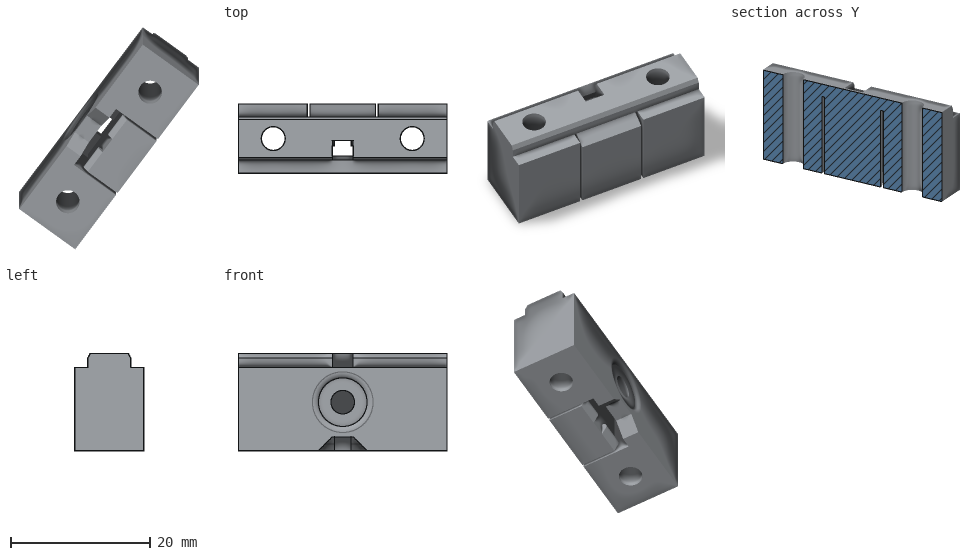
import cadquery as cq
import math

LENGTH = 30.0
DEPTH = 10.0
HEIGHT = 14.0
RAIL_HEIGHT = 2.0
RAIL_WIDTH = 6.2
RAIL_CHAMFER_HEIGHT = 0.7
RAIL_CHAMFER_WIDTH = 0.35
SHOULDER_Z = HEIGHT - RAIL_HEIGHT
FRONT_Y = -DEPTH / 2
BACK_Y = DEPTH / 2

HOLE_DIAMETER = 3.4
HOLE_SPACING = 19.98

CAVITY_FRONT_Y = -2.5
CAVITY_BACK_Y = -0.3
WINDOW_WIDTH = 3.0
WINDOW_SILL_DROP = 1.0

ARM_WIDTH = 9.48
GAP = 0.35
ARM_SLOPE = 30.0
CAVITY_WIDTH = ARM_WIDTH + 2 * GAP

LIP_RADIUS = 0.75
LIP_CENTER_Z = 1.4
LIP_NOTCH_WIDTH = 2.4

RECESS_Z = 7.0
RECESS_FLOOR_DIAMETER = 7.0
RECESS_DEPTH = 0.5
RECESS_EDGE_RADIUS = 1.0
BORE_DIAMETER = 3.4

OPENING_HEIGHT = 2.0
OPENING_TOP_WIDTH = WINDOW_WIDTH
OPENING_BOTTOM_WIDTH = OPENING_TOP_WIDTH + 2 * OPENING_HEIGHT


def box(width, y_start, y_end, z_start, z_end, x_center=0.0):
    """Block centred on x_center, between two Y and two Z positions."""
    return (
        cq.Workplane("XY")
        .box(width, y_end - y_start, z_end - z_start, centered=(True, False, False))
        .translate((x_center, y_start, z_start))
    )


def extrude_along_x(profile, width):
    """Extrude a closed YZ profile symmetrically about X = 0."""
    return profile.extrude(width / 2, both=True)


def body():
    """Block with shoulders and a chamfered rail along its top."""
    half_rail = RAIL_WIDTH / 2
    half_crest = half_rail - RAIL_CHAMFER_WIDTH
    chamfer_z = HEIGHT - RAIL_CHAMFER_HEIGHT
    profile = (
        cq.Workplane("YZ")
        .moveTo(0, 0)
        .lineTo(BACK_Y, 0)
        .lineTo(BACK_Y, SHOULDER_Z)
        .lineTo(half_rail, SHOULDER_Z)
        .lineTo(half_rail, chamfer_z)
        .lineTo(half_crest, HEIGHT)
        .lineTo(0, HEIGHT)
        .mirrorY()
    )
    return extrude_along_x(profile, LENGTH)


def mounting_holes():
    """Two vertical through holes."""
    return (
        cq.Workplane("XY")
        .pushPoints([(-HOLE_SPACING / 2, 0), (HOLE_SPACING / 2, 0)])
        .circle(HOLE_DIAMETER / 2)
        .extrude(HEIGHT)
    )


def cavity():
    """Cavity open at the bottom, with a narrow window up through the front of the rail,
    whose sill lies below the shoulder.
    """
    chamber = box(CAVITY_WIDTH, CAVITY_FRONT_Y, CAVITY_BACK_Y, 0, SHOULDER_Z)
    sill_z = SHOULDER_Z - WINDOW_SILL_DROP
    window = box(WINDOW_WIDTH, -RAIL_WIDTH / 2, CAVITY_BACK_Y, sill_z, HEIGHT)
    return chamber.union(window)


def arm_gaps():
    """Gaps on both sides of the arm, from the cavity to the back, below the rail."""
    offset = (ARM_WIDTH + GAP) / 2
    left = box(GAP, CAVITY_BACK_Y, BACK_Y, 0, SHOULDER_Z, -offset)
    right = box(GAP, CAVITY_BACK_Y, BACK_Y, 0, SHOULDER_Z, offset)
    return left.union(right)


def arm_slope():
    """Wedge that slopes the arm's shoulder down toward the back."""
    rail_back_y = RAIL_WIDTH / 2
    drop = (BACK_Y - rail_back_y) * math.tan(math.radians(ARM_SLOPE))
    profile = (
        cq.Workplane("YZ")
        .moveTo(rail_back_y, SHOULDER_Z)
        .lineTo(BACK_Y, SHOULDER_Z)
        .lineTo(BACK_Y, SHOULDER_Z - drop)
        .close()
    )
    return extrude_along_x(profile, ARM_WIDTH)


def latch_lip():
    """Half-round lip whose underside runs tangentially back to the arm, notched at its middle."""
    def on_arc(angle):
        return (
            CAVITY_BACK_Y - LIP_RADIUS * math.cos(angle),
            LIP_CENTER_Z + LIP_RADIUS * math.sin(angle),
        )

    tangent_angle = -math.asin(LIP_RADIUS / LIP_CENTER_Z)
    top_angle = math.pi / 2
    profile = (
        cq.Workplane("YZ")
        .moveTo(CAVITY_BACK_Y, 0)
        .lineTo(*on_arc(tangent_angle))
        .threePointArc(on_arc((tangent_angle + top_angle) / 2), on_arc(top_angle))
        .close()
    )
    lip = extrude_along_x(profile, ARM_WIDTH)
    notch = box(LIP_NOTCH_WIDTH, CAVITY_FRONT_Y, CAVITY_BACK_Y, 0, SHOULDER_Z)
    return lip.cut(notch)


def front_recess():
    """Shallow round recess with a convex rounded rim, and a bore on into the cavity."""
    floor_radius = RECESS_FLOOR_DIAMETER / 2
    bore_radius = BORE_DIAMETER / 2
    floor_y = FRONT_Y + RECESS_DEPTH

    sweep = math.acos(1 - RECESS_DEPTH / RECESS_EDGE_RADIUS)
    rim_radius = floor_radius + RECESS_EDGE_RADIUS * math.sin(sweep)
    arc_middle = (
        rim_radius - RECESS_EDGE_RADIUS * math.sin(sweep / 2),
        FRONT_Y + RECESS_EDGE_RADIUS * (1 - math.cos(sweep / 2)),
    )
    return (
        cq.Workplane("XY")
        .moveTo(0, FRONT_Y)
        .lineTo(rim_radius, FRONT_Y)
        .threePointArc(arc_middle, (floor_radius, floor_y))
        .lineTo(bore_radius, floor_y)
        .lineTo(bore_radius, CAVITY_FRONT_Y)
        .lineTo(0, CAVITY_FRONT_Y)
        .close()
        .revolve(360, (0, 0, 0), (0, 1, 0))
        .translate((0, 0, RECESS_Z))
    )


def front_opening():
    """Trapezoidal opening through the front wall into the cavity."""
    half_bottom = OPENING_BOTTOM_WIDTH / 2
    half_top = OPENING_TOP_WIDTH / 2
    corners = [
        (-half_bottom, 0),
        (half_bottom, 0),
        (half_top, OPENING_HEIGHT),
        (-half_top, OPENING_HEIGHT),
    ]
    return (
        cq.Workplane("XZ", origin=(0, CAVITY_FRONT_Y, 0))
        .polyline(corners)
        .close()
        .extrude(CAVITY_FRONT_Y - FRONT_Y)
    )


result = body()
for cutter in (
    mounting_holes(),
    cavity(),
    arm_gaps(),
    arm_slope(),
    front_recess(),
    front_opening(),
):
    result = result.cut(cutter)
result = result.union(latch_lip())